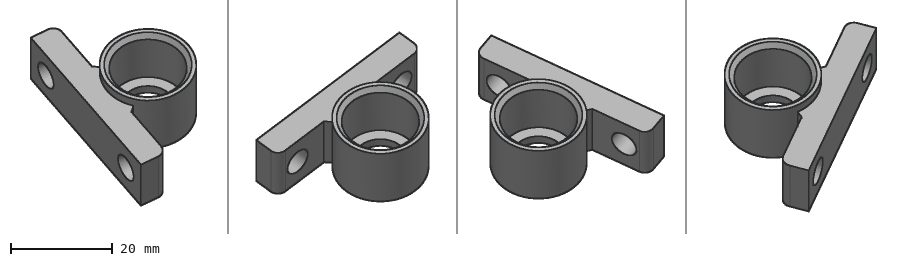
import cadquery as cq

plate_length = 40.0
plate_thickness = 6.0
plate_height = 12.0
corner_radius = 2.0
mount_hole_diameter = 5.7
mount_hole_spacing = 29.0

total_depth = 24.0
cup_diameter = 19.0
cup_height = 14.0
bore_diameter = 15.2
floor_thickness = 2.0
floor_hole_diameter = 10.5
rim_chamfer = 1.0
cup_center_y = total_depth - cup_diameter / 2

neck_base_width = 14.3
neck_top_width = 11.9
neck_rise = 1.35


def make_plate():
    """Plate with its back face on Y = 0 and rounded upright edges on the cup side."""
    plate = cq.Workplane("XY").box(
        plate_length, plate_thickness, plate_height, centered=(True, False, False)
    )
    return plate.edges("|Z and >Y").fillet(corner_radius)


def make_neck():
    """Trapezoidal block that narrows from the plate towards the cup."""
    neck_end_y = plate_thickness + neck_rise
    return (
        cq.Workplane("XY")
        .moveTo(-neck_base_width / 2, plate_thickness)
        .lineTo(neck_base_width / 2, plate_thickness)
        .lineTo(neck_top_width / 2, neck_end_y)
        .lineTo(-neck_top_width / 2, neck_end_y)
        .close()
        .extrude(plate_height)
    )


def upright_cylinder(diameter, height, base_z=0.0):
    """Cylinder on the cup axis."""
    return (
        cq.Workplane("XY", origin=(0, cup_center_y, base_z))
        .circle(diameter / 2)
        .extrude(height)
    )


def make_cup_cavity():
    """Stepped bore with a chamfered mouth."""
    bore = upright_cylinder(bore_diameter, cup_height - floor_thickness, floor_thickness)
    floor_hole = upright_cylinder(floor_hole_diameter, cup_height)
    mouth = (
        cq.Workplane("XY", origin=(0, cup_center_y, cup_height - rim_chamfer))
        .circle(bore_diameter / 2)
        .workplane(offset=rim_chamfer)
        .circle(bore_diameter / 2 + rim_chamfer)
        .loft(ruled=True)
    )
    return bore.union(floor_hole).union(mouth)


def make_mount_holes():
    """Pair of holes through the plate thickness."""
    half_spacing = mount_hole_spacing / 2
    return (
        cq.Workplane("XZ", origin=(0, 0, plate_height / 2))
        .pushPoints([(-half_spacing, 0), (half_spacing, 0)])
        .circle(mount_hole_diameter / 2)
        .extrude(-plate_thickness)
    )


body = make_plate().union(make_neck()).union(upright_cylinder(cup_diameter, cup_height))
result = body.cut(make_cup_cavity()).cut(make_mount_holes())